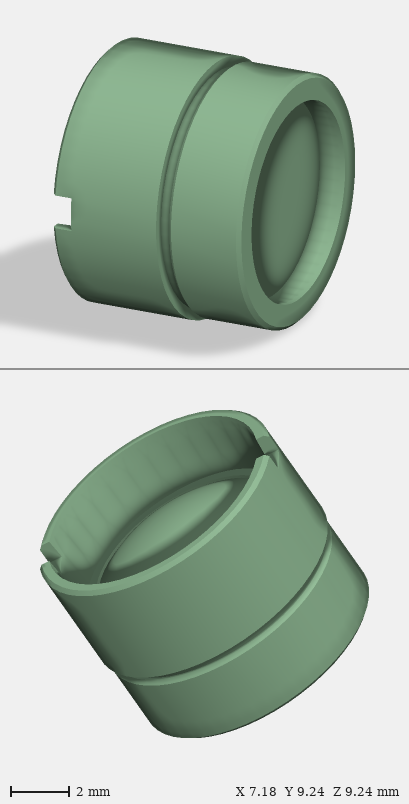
import cadquery as cq

total_length = 7.18
body_radius = 4.62
body_length = 4.03
groove_radius = 4.24
groove_width = 0.37
rear_radius = 4.49
edge_chamfer = 0.14

mouth_radius = 4.18
shoulder_radius = 3.97
shoulder_depth = 2.31

seat_radius = 3.58
seat_bevel = 0.065

slot_width = 1.2
slot_depth = 0.75

lens_apex = 1.22
lens_thickness = 4.99
lens_edge = shoulder_depth + seat_bevel


def lathe(profile):
    """Revolve a closed XY profile about the X axis."""
    return profile.revolve(360, (0, 0, 0), (1, 0, 0))


def make_housing():
    groove_end = body_length + groove_width
    shell = lathe(
        cq.Workplane("XY")
        .moveTo(0, mouth_radius)
        .lineTo(0, body_radius - edge_chamfer)
        .lineTo(edge_chamfer, body_radius)
        .lineTo(body_length, body_radius)
        .lineTo(body_length, groove_radius)
        .lineTo(groove_end, groove_radius)
        .lineTo(groove_end, rear_radius - edge_chamfer)
        .lineTo(groove_end + edge_chamfer, rear_radius)
        .lineTo(total_length - edge_chamfer, rear_radius)
        .lineTo(total_length, rear_radius - edge_chamfer)
        .lineTo(total_length, seat_radius)
        .lineTo(lens_edge, seat_radius)
        .lineTo(shoulder_depth, seat_radius + seat_bevel)
        .lineTo(shoulder_depth, shoulder_radius)
        .close()
    )
    slot_bar = cq.Workplane("XY").box(
        slot_depth, 2 * body_radius, slot_width, centered=(False, True, True)
    )
    return shell.cut(slot_bar)


def make_lens():
    sag = lens_edge - lens_apex
    sphere_radius = (seat_radius**2 + sag**2) / (2 * sag)
    mid_height = seat_radius / 2
    mid_x = lens_apex + sphere_radius - (sphere_radius**2 - mid_height**2) ** 0.5
    lens_back = lens_apex + lens_thickness
    return lathe(
        cq.Workplane("XY")
        .moveTo(lens_apex, 0)
        .threePointArc((mid_x, mid_height), (lens_edge, seat_radius))
        .lineTo(lens_back, seat_radius)
        .lineTo(lens_back, 0)
        .close()
    )


housing = make_housing()
lens = make_lens()
result = cq.Compound.makeCompound([housing.val(), lens.val()])